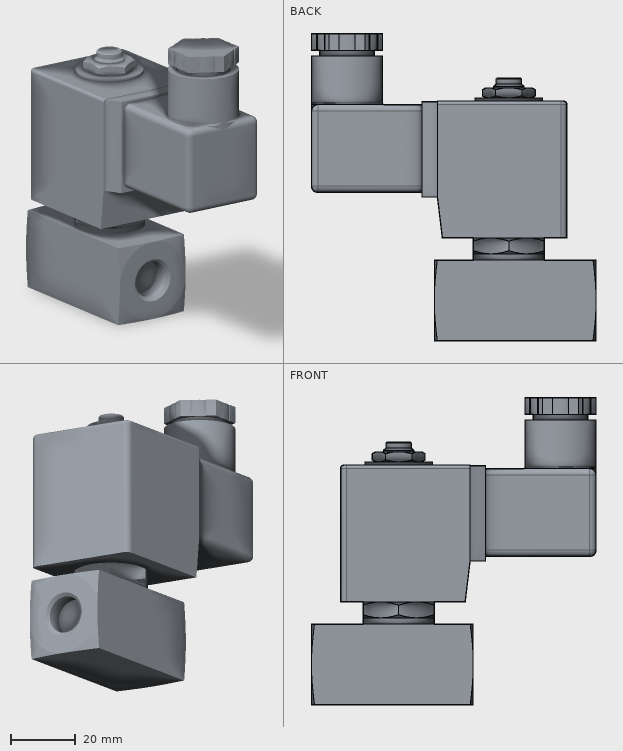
import cadquery as cq
import math


BODY_LENGTH = 50.0
BODY_SIDE = 25.0
BODY_X_MIN = -27.0
BODY_BEVEL_DEPTH = 0.95
PORT_DIAMETER = 11.5
PORT_MOUTH_DIAMETER = 13.5
PORT_DEPTH = 6.2

NECK_DIAMETER = 22.0
NECK_HEIGHT = 1.9
NECK_TOP = BODY_SIDE + NECK_HEIGHT
NECK_NUT_FLATS = 22.0
NECK_NUT_HEIGHT = 4.9

COIL_WIDTH = 36.0
COIL_X_MIN = -17.9
COIL_X_MAX = 22.1
COIL_BOTTOM = NECK_TOP + NECK_NUT_HEIGHT
COIL_TOP = 74.2
COIL_SIDE_RADIUS = 1.9
COIL_TOP_RADIUS = 1.0
RELIEF_SETBACK = 1.5

FLANGE_X_MAX = 26.9
FLANGE_BOTTOM = 44.4
FLANGE_TOP = 74.0
FLANGE_COIL_WIDTH = 34.7
FLANGE_PLUG_WIDTH = 29.3

PLUG_X_MAX = 61.1
PLUG_WIDTH = 27.0
PLUG_BOTTOM = 45.9
PLUG_TOP = 73.0
PLUG_RADIUS = 2.0

GLAND_DIAMETER = 22.0
GLAND_TOP = 88.1
GLAND_FOOT_RADIUS = 0.5
GLAND_NECK_DIAMETER = 17.0
CAP_BOTTOM = 89.8
CAP_TOP = 94.95
CAP_CORNERS = 22.0
CAP_NOTCH_WIDTH = 4.9
GLAND_X = PLUG_X_MAX - CAP_CORNERS / 2

WASHER_DIAMETER = 21.0
WASHER_HEIGHT = 0.95
WASHER_TOP = COIL_TOP + WASHER_HEIGHT
TOP_NUT_FLATS = 14.2
TOP_NUT_HEIGHT = 3.1
TOP_NUT_TOP = WASHER_TOP + TOP_NUT_HEIGHT
COLLAR_DIAMETER = 9.5
COLLAR_HEIGHT = 1.1
PIN_DIAMETER = 8.0
PIN_TOP = 81.3
PIN_CHAMFER = 0.4

HEX_SIDES = 6
NUT_BEVEL_ANGLE = math.radians(30)
CORNERS_PER_FLATS = 1 / math.cos(math.pi / HEX_SIDES)


def cylinder(diameter, bottom, top, x=0):
    return cq.Workplane("XY", origin=(x, 0, bottom)).circle(diameter / 2).extrude(top - bottom)


def block(x_min, x_max, width, bottom, top):
    base = cq.Workplane("XY", origin=((x_min + x_max) / 2, 0, bottom))
    return base.rect(x_max - x_min, width).extrude(top - bottom)


def bevelled_bar(face_radius, outer_radius, bevel_depth, length):
    """Round bar along +Z from Z = 0, tapering conically to face_radius at both ends."""
    profile = [
        (0, 0),
        (face_radius, 0),
        (outer_radius, bevel_depth),
        (outer_radius, length - bevel_depth),
        (face_radius, length),
        (0, length),
    ]
    return cq.Workplane("XZ").polyline(profile).close().revolve(360, (0, 0), (0, 1))


def bevelled_hex(flats, bottom, height, turn=0):
    """Hexagon nut with bevelled corners; corners point along X before the turn."""
    corners = flats * CORNERS_PER_FLATS
    hexagon = cq.Workplane("XY").polygon(HEX_SIDES, corners).extrude(height)
    bevel_depth = (corners - flats) / 2 * math.tan(NUT_BEVEL_ANGLE)
    envelope = bevelled_bar(flats / 2, corners / 2, bevel_depth, height)
    nut = hexagon.intersect(envelope)
    return nut.rotate((0, 0, 0), (0, 0, 1), turn).translate((0, 0, bottom))


def port():
    """Blind port with a 45 degree mouth, opening at Z = 0 and running up Z."""
    mouth_radius = PORT_MOUTH_DIAMETER / 2
    bore_radius = PORT_DIAMETER / 2
    profile = [
        (0, 0),
        (mouth_radius, 0),
        (bore_radius, mouth_radius - bore_radius),
        (bore_radius, PORT_DEPTH),
        (0, PORT_DEPTH),
    ]
    return cq.Workplane("XZ").polyline(profile).close().revolve(360, (0, 0), (0, 1))


def valve_body():
    corner_radius = BODY_SIDE / math.sqrt(2)
    bar = cq.Workplane("XY").rect(BODY_SIDE, BODY_SIDE).extrude(BODY_LENGTH)
    envelope = bevelled_bar(BODY_SIDE / 2, corner_radius, BODY_BEVEL_DEPTH, BODY_LENGTH)
    far_port = port().mirror("XY").translate((0, 0, BODY_LENGTH))
    body = bar.intersect(envelope).cut(port()).cut(far_port)
    lying_along_x = body.rotate((0, 0, 0), (0, 1, 0), 90)
    return lying_along_x.translate((BODY_X_MIN, 0, BODY_SIDE / 2))


def neck():
    collar = cylinder(NECK_DIAMETER, BODY_SIDE, NECK_TOP)
    return collar.union(bevelled_hex(NECK_NUT_FLATS, NECK_TOP, NECK_NUT_HEIGHT, turn=90))


def coil():
    outline = [
        (COIL_X_MIN, COIL_BOTTOM),
        (COIL_X_MAX - RELIEF_SETBACK, COIL_BOTTOM),
        (COIL_X_MAX, FLANGE_BOTTOM),
        (COIL_X_MAX, COIL_TOP),
        (COIL_X_MIN, COIL_TOP),
    ]
    housing = cq.Workplane("XZ").polyline(outline).close().extrude(COIL_WIDTH / 2, both=True)
    housing = housing.faces("<X").edges("|Z").fillet(COIL_SIDE_RADIUS)
    return housing.faces(">Z").edges("not >X").fillet(COIL_TOP_RADIUS)


def flange():
    outline = [
        (COIL_X_MAX, -FLANGE_COIL_WIDTH / 2),
        (FLANGE_X_MAX, -FLANGE_PLUG_WIDTH / 2),
        (FLANGE_X_MAX, FLANGE_PLUG_WIDTH / 2),
        (COIL_X_MAX, FLANGE_COIL_WIDTH / 2),
    ]
    base = cq.Workplane("XY", origin=(0, 0, FLANGE_BOTTOM))
    return base.polyline(outline).close().extrude(FLANGE_TOP - FLANGE_BOTTOM)


def connector_box():
    box = block(FLANGE_X_MAX, PLUG_X_MAX, PLUG_WIDTH, PLUG_BOTTOM, PLUG_TOP)
    return box.edges("|X or >X").fillet(PLUG_RADIUS)


def gland_barrel():
    """Barrel with a flared foot, reaching down through the rounded edge of the box."""
    radius = GLAND_DIAMETER / 2
    root = PLUG_TOP - PLUG_RADIUS
    foot_radius = radius + GLAND_FOOT_RADIUS
    barrel = (
        cq.Workplane("XZ", origin=(GLAND_X, 0, 0))
        .moveTo(0, root)
        .lineTo(radius, root)
        .lineTo(radius, PLUG_TOP)
        .lineTo(foot_radius, PLUG_TOP)
        .radiusArc((radius, PLUG_TOP + GLAND_FOOT_RADIUS), GLAND_FOOT_RADIUS)
        .lineTo(radius, GLAND_TOP)
        .lineTo(0, GLAND_TOP)
        .close()
        .revolve(360, (0, 0), (0, 1))
    )
    return barrel.intersect(block(FLANGE_X_MAX, PLUG_X_MAX, PLUG_WIDTH, root, GLAND_TOP))


def gland_cap():
    """Hexagon cap whose flats are relieved in the middle to the inscribed circle."""
    height = CAP_TOP - CAP_BOTTOM
    flats = CAP_CORNERS / CORNERS_PER_FLATS
    base = cq.Workplane("XY", origin=(GLAND_X, 0, CAP_BOTTOM))
    cap = base.polygon(HEX_SIDES, CAP_CORNERS).extrude(height)
    notches = (
        base.polarArray(flats / 2, 180 / HEX_SIDES, 360, HEX_SIDES)
        .rect(CAP_NOTCH_WIDTH, CAP_NOTCH_WIDTH)
        .extrude(height)
    )
    return cap.cut(notches).union(cylinder(flats, CAP_BOTTOM, CAP_TOP, GLAND_X))


def fixing_nut():
    washer = cylinder(WASHER_DIAMETER, COIL_TOP, WASHER_TOP)
    nut = bevelled_hex(TOP_NUT_FLATS, WASHER_TOP, TOP_NUT_HEIGHT)
    collar = cylinder(COLLAR_DIAMETER, TOP_NUT_TOP, TOP_NUT_TOP + COLLAR_HEIGHT)
    collar = collar.faces(">Z").chamfer((COLLAR_DIAMETER - PIN_DIAMETER) / 2)
    pin = cylinder(PIN_DIAMETER, TOP_NUT_TOP, PIN_TOP).faces(">Z").chamfer(PIN_CHAMFER)
    return washer.union(nut).union(collar).union(pin)


result = (
    valve_body()
    .union(neck())
    .union(coil())
    .union(flange())
    .union(connector_box())
    .union(gland_barrel())
    .union(cylinder(GLAND_NECK_DIAMETER, GLAND_TOP, CAP_BOTTOM, GLAND_X))
    .union(gland_cap())
    .union(fixing_nut())
)